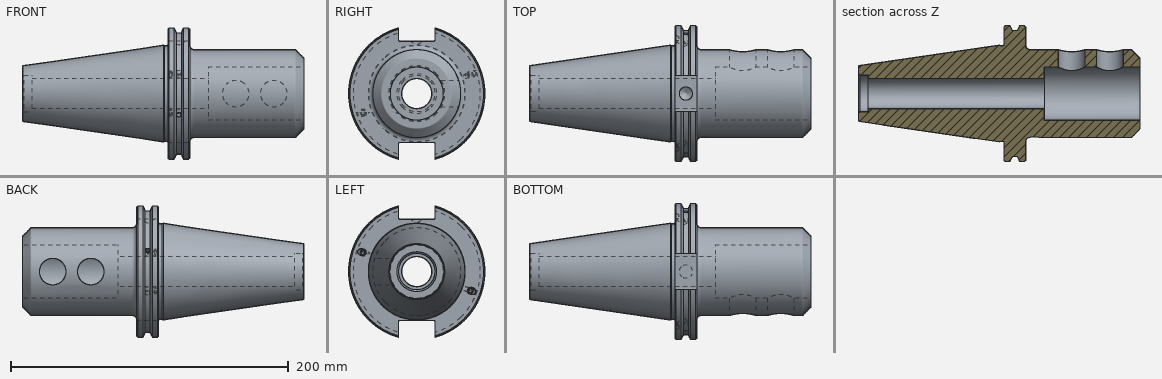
import cadquery as cq
import math

total_length = 203.2
gauge_x = 101.5
flange_start = 104.9
flange_end = 120.7

gauge_diameter = 70.0
taper_ratio = 7 / 24
small_end_diameter = gauge_diameter - gauge_x * taper_ratio
small_end_chamfer = 0.6
neck_diameter = 69.3
neck_step_length = 0.8
neck_fillet = 0.5

flange_diameter = 98.3
flange_chamfer = 1.0
groove_floor_diameter = 91.5
groove_start = 109.3
groove_floor_start = 111.2
groove_floor_end = 114.6
groove_end = 116.2
groove_middle = (groove_floor_start + groove_floor_end) / 2

body_diameter = 63.5
body_fillet = 3.3
end_chamfer = 6.3
end_edge_fillet = 1.0

slot_width = 26.0
upper_slot_floor = 37.8
lower_slot_floor = 35.4
slot_corner_fillet = 0.6
dimple_diameter = 9.5
drill_point_angle = 118.0

counterbore_diameter = 26.2
counterbore_depth = 7.1
counterbore_chamfer = 1.2
passage_diameter = 21.5
tool_bore_diameter = 38.2
tool_bore_depth = 69.0

screw_diameter = 19.0
screw_positions = (153.8, 181.3)

coolant_radius = 42.0
coolant_angles = (19.5, 199.5)
coolant_tilt = 30.0
outlet_diameter = 5.0
outlet_depth = 2.5
coolant_diameter = 3.3


def revolved(points):
    """Solid of revolution about X from (x, radius) points."""
    return cq.Workplane("XY").polyline(points).close().revolve(360, (0, 0, 0), (1, 0, 0))


def outer_body():
    arc_middle_ratio = 1 - math.sqrt(0.5)
    small_radius = small_end_diameter / 2
    chamfer_end_radius = small_radius + small_end_chamfer * taper_ratio / 2
    neck_radius = neck_diameter / 2
    flange_radius = flange_diameter / 2
    groove_radius = groove_floor_diameter / 2
    body_radius = body_diameter / 2
    arc_offset = body_fillet * arc_middle_ratio
    neck_arc_offset = neck_fillet * arc_middle_ratio
    profile = (
        cq.Workplane("XY")
        .moveTo(0, 0)
        .lineTo(0, small_radius - small_end_chamfer)
        .lineTo(small_end_chamfer, chamfer_end_radius)
        .lineTo(gauge_x, gauge_diameter / 2)
        .lineTo(gauge_x + neck_step_length, neck_radius)
        .lineTo(flange_start - neck_fillet, neck_radius)
        .threePointArc(
            (flange_start - neck_arc_offset, neck_radius + neck_arc_offset),
            (flange_start, neck_radius + neck_fillet),
        )
        .lineTo(flange_start, flange_radius - flange_chamfer)
        .lineTo(flange_start + flange_chamfer, flange_radius)
        .lineTo(groove_start, flange_radius)
        .lineTo(groove_floor_start, groove_radius)
        .lineTo(groove_floor_end, groove_radius)
        .lineTo(groove_end, flange_radius)
        .lineTo(flange_end - flange_chamfer, flange_radius)
        .lineTo(flange_end, flange_radius - flange_chamfer)
        .lineTo(flange_end, body_radius + body_fillet)
        .threePointArc(
            (flange_end + arc_offset, body_radius + arc_offset),
            (flange_end + body_fillet, body_radius),
        )
        .lineTo(total_length - end_chamfer, body_radius)
        .lineTo(total_length, body_radius - end_chamfer)
        .lineTo(total_length, 0)
        .close()
    )
    blank = profile.revolve(360, (0, 0, 0), (1, 0, 0))
    chamfer_edges = cq.selectors.BoxSelector(
        (total_length - end_chamfer - end_edge_fillet, -body_diameter, -body_diameter),
        (total_length + end_edge_fillet, body_diameter, body_diameter),
    )
    return blank.edges(chamfer_edges).edges("%CIRCLE").fillet(end_edge_fillet)


def axial_bore():
    mouth_radius = counterbore_diameter / 2 + counterbore_chamfer
    tool_bore_start = total_length - tool_bore_depth
    return revolved([
        (0, 0),
        (0, mouth_radius),
        (counterbore_chamfer, counterbore_diameter / 2),
        (counterbore_depth, counterbore_diameter / 2),
        (counterbore_depth, passage_diameter / 2),
        (tool_bore_start, passage_diameter / 2),
        (tool_bore_start, tool_bore_diameter / 2),
        (total_length, tool_bore_diameter / 2),
        (total_length, 0),
    ])


def drive_slots():
    slot_length = flange_end - flange_start
    slot_height = flange_diameter / 2
    block = cq.Workplane("XY").box(slot_length, slot_width, slot_height, centered=(False, True, False))
    block = block.edges("|X and <Z").fillet(slot_corner_fillet)
    upper = block.translate((flange_start, 0, upper_slot_floor))
    lower = block.rotate((0, 0, 0), (1, 0, 0), 180).translate((flange_start, 0, -lower_slot_floor))
    return upper.union(lower)


def slot_dimple():
    radius = dimple_diameter / 2
    point_depth = radius / math.tan(math.radians(drill_point_angle / 2))
    section = [
        (0, 0),
        (radius, 0),
        (0, -point_depth),
    ]
    drill = cq.Workplane("XZ").polyline(section).close().revolve(360, (0, 0, 0), (0, 1, 0))
    return drill.translate((groove_middle, 0, upper_slot_floor))


def screw_hole(x):
    return cq.Workplane("XZ", origin=(x, 0, 0)).circle(screw_diameter / 2).extrude(-body_diameter)


def coolant_hole(angle):
    """Stepped hole slanting toward the axis, met by a radial hole from the groove."""
    tilt = math.radians(coolant_tilt)
    run = groove_middle - flange_start
    meeting_radius = coolant_radius - run * math.tan(tilt)
    slanted = revolved([
        (-outlet_diameter, 0),
        (-outlet_diameter, outlet_diameter / 2),
        (outlet_depth, outlet_diameter / 2),
        (outlet_depth, coolant_diameter / 2),
        (run / math.cos(tilt), coolant_diameter / 2),
        (run / math.cos(tilt), 0),
    ])
    slanted = slanted.rotate((0, 0, 0), (0, 0, 1), -coolant_tilt).translate((flange_start, coolant_radius, 0))
    cross = (
        cq.Workplane("XZ", origin=(groove_middle, meeting_radius, 0))
        .circle(coolant_diameter / 2)
        .extrude(meeting_radius - flange_diameter / 2)
    )
    return slanted.union(cross).rotate((0, 0, 0), (1, 0, 0), angle)


result = outer_body().cut(axial_bore()).cut(drive_slots()).cut(slot_dimple())
for screw_x in screw_positions:
    result = result.cut(screw_hole(screw_x))
for coolant_angle in coolant_angles:
    result = result.cut(coolant_hole(coolant_angle))